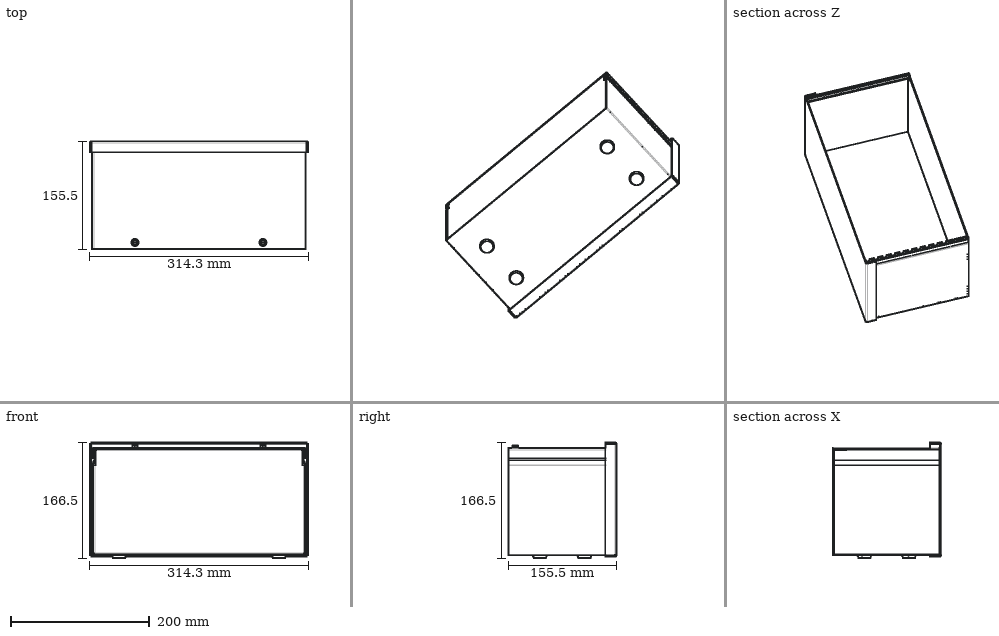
import cadquery as cq
import math


WIDTH = 314.3
DEPTH = 155.5
HEIGHT = 166.5
SHEET = 2.0

BEZEL_BOTTOM = 2.0
BEZEL_SKIRT = 16.0
BEZEL_BEND = 2.5
bezel_inner_bend = BEZEL_BEND - SHEET
BEZEL_CORNER_GAP = 0.3
bezel_corner_notch = SHEET + BEZEL_CORNER_GAP
bezel_height = HEIGHT - BEZEL_BOTTOM
bezel_middle = (HEIGHT + BEZEL_BOTTOM) / 2
plate_face = DEPTH - SHEET
box_depth = plate_face - bezel_inner_bend

BODY_WIDTH = 308.0
COVER_TOP = 158.7
COVER_SIDE_DROP = 15.5
COVER_BEND = 2.8
REAR_HOLE_DIAMETER = 4.7
REAR_HOLE_SETBACK = 7.2
cover_underside = COVER_TOP - SHEET
cover_inner_bend = COVER_BEND - SHEET
body_half = BODY_WIDTH / 2

chassis_bottom = BEZEL_BOTTOM + SHEET
STEP_INWARD = 3.0
STEP_LOW = 134.0
STEP_HIGH = 140.8
SIDE_BEND = 1.5
STEP_BEND = 2.5
PANEL_BEND = 2.0
PANEL_SHEET = 2.2
PANEL_GAP = 0.5
TOP_FLANGE = 19.0
wall_top = cover_underside - cover_inner_bend
floor_top = chassis_bottom + SHEET
panel_low_half = body_half - SHEET
panel_high_half = panel_low_half - STEP_INWARD - PANEL_GAP

SCREW_SPACING = 184.2
SCREW_Y = 9.7
SCREW_FLANGE_DIAMETER = 10.5
SCREW_FLANGE = 0.3
HEX_SIDES = 6
QUARTER_TURN = 90
SCREW_HEX_FLATS = 8.0
SCREW_CROWN_DIAMETER = 7.2
CROWN_ANGLE = math.radians(30)
SCREW_HEAD = 3.5
SCREW_SLOT_WIDTH = 1.0
SCREW_SLOT_DEPTH = 2.5
SCREW_SHANK_DIAMETER = 4.7
screw_shank = 2 * SHEET

FOOT_SPACING_X = 230.0
FOOT_SPACING_Y = 64.0
FOOT_MIDDLE_Y = 77.3
FOOT_DIAMETER = 20.7
FOOT_TAPER = 1.5


def box(x_size, y_range, z_range):
    """Box centred on X = 0 between the given Y and Z limits."""
    low_y, high_y = y_range
    low_z, high_z = z_range
    return (
        cq.Workplane("XY")
        .box(x_size, high_y - low_y, high_z - low_z, centered=(True, False, False))
        .translate((0, low_y, low_z))
    )


def along_depth(outline, length):
    """Closed X-Z outline extruded from the front (Y = 0) towards the back."""
    return cq.Workplane("XZ").polyline(outline).close().extrude(-length)


def stepped_outline(inset, bottom, top):
    """X-Z outline of the chassis, with both sides stepping inward towards the top."""
    low_half = body_half - inset
    high_half = low_half - STEP_INWARD
    right = [(low_half, bottom), (low_half, STEP_LOW), (high_half, STEP_HIGH), (high_half, top)]
    left = [(-x, z) for x, z in reversed(right)]
    return right + left


def screw_places():
    return [(side * SCREW_SPACING / 2, SCREW_Y) for side in (-1, 1)]


def screw_holes():
    """Cutters for the screw shanks."""
    return (
        cq.Workplane("XY", origin=(0, 0, COVER_TOP - screw_shank))
        .pushPoints(screw_places())
        .circle(SCREW_SHANK_DIAMETER / 2)
        .extrude(screw_shank)
    )


def rear_holes():
    """Cutters for the open holes at the back of the cover, in line with the screws."""
    return (
        cq.Workplane("XY", origin=(0, plate_face - REAR_HOLE_SETBACK, cover_underside))
        .pushPoints([(x, 0) for x, _ in screw_places()])
        .circle(REAR_HOLE_DIAMETER / 2)
        .extrude(SHEET)
    )


def make_bezel():
    front = DEPTH - BEZEL_SKIRT
    tray = box(WIDTH, (front, DEPTH), (BEZEL_BOTTOM, HEIGHT)).faces(">Y").edges().fillet(BEZEL_BEND)
    cavity = box(WIDTH - 2 * SHEET, (front, plate_face), (chassis_bottom, HEIGHT - SHEET))
    cavity = cavity.faces(">Y").edges().fillet(bezel_inner_bend)
    notches = (
        cq.Workplane("XZ", origin=(0, front, bezel_middle))
        .rect(WIDTH, bezel_height, forConstruction=True)
        .vertices()
        .rect(2 * bezel_corner_notch, 2 * bezel_corner_notch)
        .extrude(-BEZEL_SKIRT)
    )
    return tray.cut(cavity).cut(notches)


def make_cover():
    bottom = COVER_TOP - COVER_SIDE_DROP
    outside = box(BODY_WIDTH, (0, box_depth), (bottom, COVER_TOP))
    outside = outside.edges("|Y and >Z").fillet(COVER_BEND)
    inside = box(BODY_WIDTH - 2 * SHEET, (0, box_depth), (bottom, cover_underside))
    inside = inside.edges("|Y and >Z").fillet(cover_inner_bend)
    return outside.cut(inside).cut(screw_holes()).cut(rear_holes())


def make_walls():
    """Side walls and floor as one open channel."""
    outside = along_depth(stepped_outline(0, chassis_bottom, wall_top), box_depth)
    outside = outside.edges("|Y and <Z").fillet(SIDE_BEND)
    step_corners = cq.selectors.BoxSelector(
        (-WIDTH, -DEPTH, STEP_LOW - SHEET), (WIDTH, DEPTH, STEP_LOW + SHEET)
    )
    outside = outside.edges(step_corners).fillet(STEP_BEND)
    inside = along_depth(stepped_outline(SHEET, floor_top, COVER_TOP), box_depth)
    return outside.cut(inside)


def make_front_panel():
    """Front panel with rounded borders and a flange under the cover."""
    lower = box(2 * panel_low_half, (0, TOP_FLANGE), (floor_top, STEP_LOW))
    lower = lower.faces("<Y").edges("<Z or |Z").fillet(PANEL_BEND)
    upper = box(2 * panel_high_half, (0, TOP_FLANGE), (STEP_LOW, cover_underside))
    upper = upper.faces("<Y").edges(">Z").fillet(PANEL_BEND)
    behind = box(WIDTH, (PANEL_SHEET, TOP_FLANGE), (floor_top, cover_underside - SHEET))
    return lower.union(upper).cut(behind).cut(screw_holes())


def make_chassis():
    return make_walls().union(make_front_panel())


def make_screw(place):
    x, y = place
    base = cq.Workplane("XY", origin=(x, y, COVER_TOP))
    shank = base.circle(SCREW_SHANK_DIAMETER / 2).extrude(-screw_shank)
    flange = base.circle(SCREW_FLANGE_DIAMETER / 2).extrude(SCREW_FLANGE)
    corners = SCREW_HEX_FLATS / math.cos(math.pi / HEX_SIDES)
    hexagon = cq.Workplane("XY").polygon(HEX_SIDES, corners).extrude(SCREW_HEAD)
    hexagon = hexagon.rotate((0, 0, 0), (0, 0, 1), QUARTER_TURN).translate((x, y, COVER_TOP))
    crown_inset = (corners - SCREW_CROWN_DIAMETER) / 2
    crown = (
        base.circle(corners / 2)
        .extrude(SCREW_HEAD)
        .faces(">Z")
        .chamfer(crown_inset * math.tan(CROWN_ANGLE), crown_inset)
    )
    slot = (
        base.workplane(offset=SCREW_HEAD - SCREW_SLOT_DEPTH)
        .rect(SCREW_FLANGE_DIAMETER, SCREW_SLOT_WIDTH)
        .extrude(SCREW_SLOT_DEPTH)
    )
    head = hexagon.intersect(crown)
    return head.union(flange).cut(slot).union(shank)


def make_foot(place):
    x, y = place
    return (
        cq.Workplane("XY", origin=(x, y, 0))
        .circle(FOOT_DIAMETER / 2 - FOOT_TAPER)
        .workplane(offset=chassis_bottom)
        .circle(FOOT_DIAMETER / 2)
        .loft()
    )


foot_places = [
    (side * FOOT_SPACING_X / 2, FOOT_MIDDLE_Y + end * FOOT_SPACING_Y / 2)
    for side in (-1, 1)
    for end in (-1, 1)
]

bezel = make_bezel()
cover = make_cover()
chassis = make_chassis()
screws = [make_screw(place) for place in screw_places()]
feet = [make_foot(place) for place in foot_places]

result = cq.Compound.makeCompound(
    [bezel.val(), cover.val(), chassis.val()] + [body.val() for body in screws + feet]
)